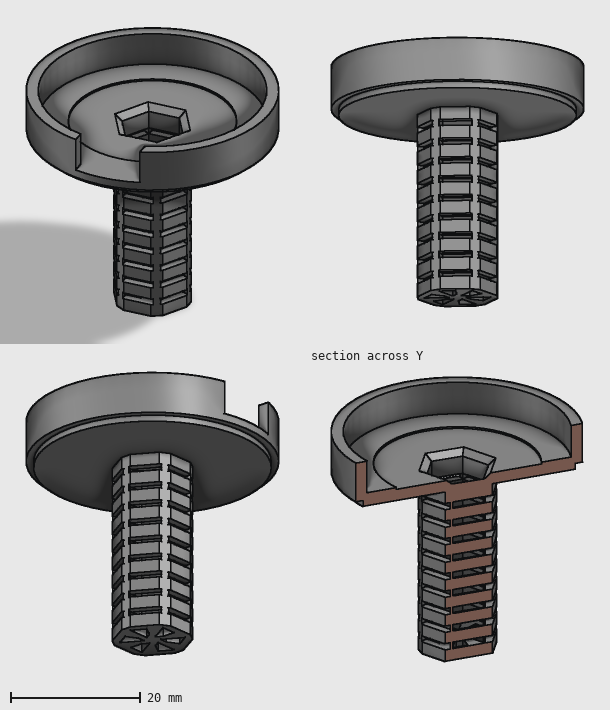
import cadquery as cq
import math

total_height = 36.7
stem_height = 29.0
spigot_height = 1.0
cup_bottom = stem_height + spigot_height
cup_floor_thickness = 1.3
cup_floor = cup_bottom + cup_floor_thickness

cup_diameter = 39.13
cup_bore_diameter = 35.4
spigot_diameter = 36.8
recess_diameter = 26.05
recess_depth = 0.3
notch_left = -4.93
notch_right = 5.72

sides = 6
side_angle = 360 / sides
half_side_angle = side_angle / 2
stem_turn = -1.0
bore_radius = 5.15
stem_flat_distance = 5.8
stem_corner_distance = 6.17
funnel_radius = 6.37
funnel_depth = 1.0
recess_floor = cup_floor - recess_depth

slot_rows = 9
slot_pitch = 3.0
slot_height = 1.0
first_slot_bottom = 2.04
slot_width = bore_radius

stem_floor_thickness = first_slot_bottom
window_inset = 1.14


def polar(radius, angle):
    """Point at a radius and an angle in degrees."""
    return (radius * math.cos(math.radians(angle)), radius * math.sin(math.radians(angle)))


def disc(diameter, bottom, top):
    return cq.Workplane("XY").workplane(offset=bottom).circle(diameter / 2).extrude(top - bottom)


def hexagon(corner_radius, bottom):
    """Hexagon outline with a corner on the X axis."""
    return cq.Workplane("XY").workplane(offset=bottom).polygon(sides, 2 * corner_radius)


def make_cup():
    cup = disc(cup_diameter, cup_bottom, total_height)
    cup = cup.union(disc(spigot_diameter, stem_height, cup_bottom))
    cup = cup.cut(disc(cup_bore_diameter, cup_floor, total_height))
    cup = cup.cut(disc(recess_diameter, recess_floor, cup_floor))
    notch = (
        cq.Workplane("XY")
        .workplane(offset=cup_floor)
        .moveTo(notch_left, 0)
        .lineTo(notch_right, 0)
        .lineTo(notch_right, -cup_diameter)
        .lineTo(notch_left, -cup_diameter)
        .close()
        .extrude(total_height - cup_floor)
    )
    return cup.cut(notch)


def make_stem():
    """Solid hexagonal prism with its six corners cut flat."""
    flat_hexagon_radius = stem_flat_distance / math.cos(math.radians(half_side_angle))
    corner_hexagon_radius = stem_corner_distance / math.cos(math.radians(half_side_angle))
    corner_hexagon = hexagon(corner_hexagon_radius, 0).extrude(stem_height)
    corner_hexagon = corner_hexagon.rotate((0, 0, 0), (0, 0, 1), half_side_angle)
    return hexagon(flat_hexagon_radius, 0).extrude(stem_height).intersect(corner_hexagon)


def make_bore():
    """Hexagonal bore that opens into a funnel at the recess floor."""
    bore = hexagon(bore_radius, stem_floor_thickness).extrude(recess_floor - stem_floor_thickness)
    funnel = (
        hexagon(bore_radius, recess_floor - funnel_depth)
        .workplane(offset=funnel_depth)
        .polygon(sides, 2 * funnel_radius)
        .loft(ruled=True)
    )
    return bore.union(funnel)


def make_slots():
    """Rows of slots, one through each wide face in every row."""
    slots = cq.Workplane("XY")
    for row in range(slot_rows):
        slot = cq.Workplane("XY").box(
            stem_corner_distance, slot_width, slot_height, centered=(False, True, False)
        )
        slot = slot.translate((0, 0, first_slot_bottom + row * slot_pitch))
        for side in range(sides):
            angle = half_side_angle + side * side_angle
            slots = slots.add(slot.rotate((0, 0, 0), (0, 0, 1), angle))
    return slots.combine()


def make_floor_windows():
    """One window per corner, from the corner to the middle of the next side."""
    outline = [
        polar(bore_radius, 0),
        polar(bore_radius * math.cos(math.radians(half_side_angle)), half_side_angle),
        polar(window_inset / math.sin(math.radians(half_side_angle)), half_side_angle),
        polar(window_inset / math.sin(math.radians(side_angle)), 0),
    ]
    window = cq.Workplane("XY").polyline(outline).close().extrude(stem_floor_thickness)
    windows = cq.Workplane("XY")
    for side in range(sides):
        windows = windows.add(window.rotate((0, 0, 0), (0, 0, 1), side * side_angle))
    return windows.combine()


def turned(body):
    return body.rotate((0, 0, 0), (0, 0, 1), stem_turn)


stem = make_stem().cut(make_slots()).cut(make_floor_windows())
result = make_cup().union(turned(stem)).cut(turned(make_bore()))